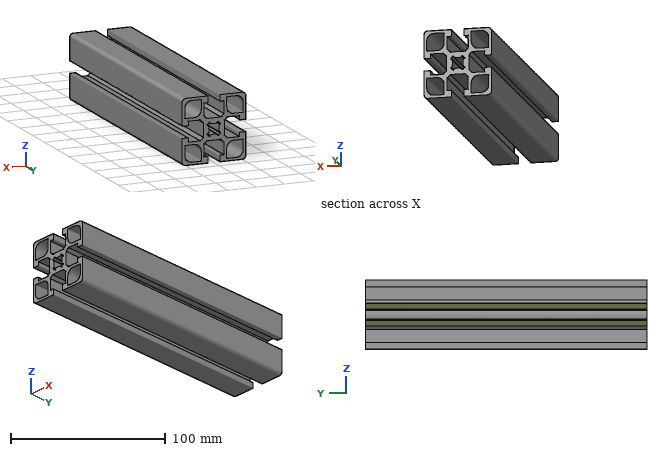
import cadquery as cq

side = 45.0
side_count = 4
length = 182.5
outer_radius = 2.5

slot_opening = 8.2
lip_thickness = 4.5
slot_width = 14.0
slot_depth = 15.0
lip_inner_radius = 0.5
lip_outer_radius = 0.3
slot_corner_chamfer = 2.1

outer_wall = 1.85
inner_wall = 2.0
chamber_main_radius = 5.0
chamber_side_radius = 0.5

bore_width = 7.0
bore_side_length = 5.6
bore_side_bow = 0.4
bore_reach = 4.6
bore_notch_end = 3.2

half_side = side / 2


def extrude_profile(profile):
    """Extrude an XZ profile along the full length, centred on Y = 0."""
    return profile.extrude(length / 2, both=True)


def round_edge(solid, x, z, radius):
    """Fillet the lengthwise edge closest to the point (x, z)."""
    closest = cq.selectors.NearestToPointSelector((x, 0, z))
    return solid.edges("|Y").edges(closest).fillet(radius)


def make_bar():
    square = cq.Workplane("XZ").rect(side, side)
    return extrude_profile(square).edges("|Y").fillet(outer_radius)


def make_slot():
    """T-slot open towards +Z."""
    lip_z = half_side - lip_thickness
    floor_z = half_side - slot_depth
    half_opening = slot_opening / 2
    half_width = slot_width / 2
    half_floor = half_width - slot_corner_chamfer
    right_side = [
        (half_floor, floor_z),
        (half_width, floor_z + slot_corner_chamfer),
        (half_width, lip_z),
        (half_opening, lip_z),
        (half_opening, half_side),
    ]
    left_side = [(-x, z) for x, z in reversed(right_side)]
    outline = cq.Workplane("XZ").polyline(right_side + left_side).close()
    return extrude_profile(outline)


def make_chamber():
    """Corner chamber in the +X, +Z quadrant."""
    near = slot_width / 2 + inner_wall
    far = half_side - outer_wall
    centre = (near + far) / 2
    square = cq.Workplane("XZ").center(centre, centre).rect(far - near, far - near)
    chamber = extrude_profile(square)
    sharp_corners = [(near, far), (far, near)]
    for x, z in sharp_corners:
        chamber = round_edge(chamber, x, z, chamber_side_radius)
    diagonal_corners = [(near, near), (far, far)]
    for x, z in diagonal_corners:
        chamber = round_edge(chamber, x, z, chamber_main_radius)
    return chamber


def quarter_turned(x, z, turns):
    """Point (x, z) after clockwise quarter turns about the bar axis."""
    for _ in range(turns):
        x, z = z, -x
    return x, z


def make_bore():
    """Four bowed sides joined by a notch across each corner."""
    middle = bore_width / 2
    side_end = bore_side_length / 2
    side_offset = middle + bore_side_bow
    outline = cq.Workplane("XZ").moveTo(-side_end, side_offset)
    for turn in range(side_count):
        bow_middle = quarter_turned(0, middle, turn)
        bow_end = quarter_turned(side_end, side_offset, turn)
        outline = outline.threePointArc(bow_middle, bow_end)
        outline = outline.lineTo(*quarter_turned(side_end, bore_reach, turn))
        outline = outline.lineTo(*quarter_turned(bore_notch_end, bore_reach, turn))
        outline = outline.lineTo(*quarter_turned(bore_reach, bore_notch_end, turn))
        outline = outline.lineTo(*quarter_turned(bore_reach, side_end, turn))
        if turn < side_count - 1:
            outline = outline.lineTo(*quarter_turned(side_offset, side_end, turn))
    return extrude_profile(outline.close())


def round_lips(bar):
    """Round the inner and outer edges of every slot lip."""
    lip_z = half_side - lip_thickness
    half_opening = slot_opening / 2
    lip_edges = [(half_opening, lip_z, lip_inner_radius), (half_opening, half_side, lip_outer_radius)]
    for x, z, radius in lip_edges:
        for turn in range(side_count):
            for mirrored_x in (-x, x):
                edge_x, edge_z = quarter_turned(mirrored_x, z, turn)
                bar = round_edge(bar, edge_x, edge_z, radius)
    return bar


slot = make_slot()
chamber = make_chamber()
result = make_bar().cut(make_bore())
for quarter_turn in range(side_count):
    angle = quarter_turn * 360 / side_count
    result = result.cut(slot.rotate((0, 0, 0), (0, 1, 0), angle))
    result = result.cut(chamber.rotate((0, 0, 0), (0, 1, 0), angle))
result = round_lips(result)